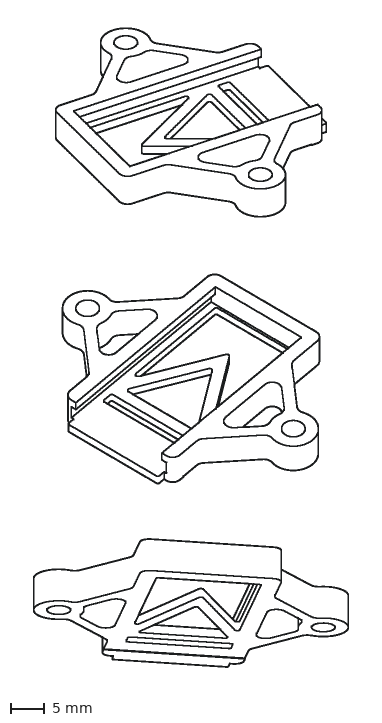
import cadquery as cq
import math

total_height = 5.2
pad_thickness = 0.12
plate_top = 1.5
lip_thickness = 1.42

frame_half_width = 10.7
frame_front = -18.05
frame_back = 16.6
channel_half_width = 8.35
channel_front = -15.7
groove_half_width = 9.2
corner_radius = 1.42

tongue_half_width = 8.8
tongue_back = 17.95
pad_front = 14.25
small_radius = 0.3

total_length = 47.5
ear_radius = 3.75
ear_x = total_length / 2 - ear_radius
hole_diameter = 3.5
arm_reach = 21.38
arm_thickness = 1.95

window_half_width = 7.95
window_front = -15.35
slot_back = 10.85
slot_front = 8.85
web_width = 2.0
triangle_back = slot_front - web_width
triangle_tip = -5.2
web_angle = math.radians(60)
web_slope = math.tan(web_angle)
web_tip = triangle_tip - web_width / math.cos(web_angle)
web_radius = 0.4


def block(half_width, front, back, bottom, top):
    """Box centred on X = 0, given by its limits in Y and Z."""
    size = (2 * half_width, back - front, top - bottom)
    return cq.Workplane("XY").box(*size, centered=False).translate((-half_width, front, bottom))


def prism(points, bottom, top):
    return cq.Workplane("XY").workplane(offset=bottom).polyline(points).close().extrude(top - bottom)


def cylinder(radius, side, bottom=0.0):
    height = total_height - bottom
    return cq.Workplane("XY").workplane(offset=bottom).center(side * ear_x, 0).circle(radius).extrude(height)


def arm_triangle(reach, side):
    """Right-angled triangle between the frame side and two 45 degree lines."""
    base = reach - frame_half_width
    x_base = side * frame_half_width
    return prism([(x_base, -base), (side * reach, 0), (x_base, base)], pad_thickness, total_height)


def ear_pocket(side):
    inner_reach = arm_reach - arm_thickness * math.sqrt(2)
    pocket = arm_triangle(inner_reach, side).cut(cylinder(ear_radius, side))
    return pocket.edges("|Z").fillet(corner_radius)


def make_frame():
    frame = block(frame_half_width, frame_front, frame_back, pad_thickness, total_height)
    for side in (-1, 1):
        frame = frame.union(arm_triangle(arm_reach, side)).union(cylinder(ear_radius, side, pad_thickness))
    frame = frame.edges("|Z").fillet(corner_radius)
    for side in (-1, 1):
        frame = frame.cut(ear_pocket(side)).cut(cylinder(hole_diameter / 2, side))
    return frame


def make_pad():
    pad = block(frame_half_width, pad_front, frame_back, 0, pad_thickness)
    return pad.edges("|Z and >Y").fillet(corner_radius)


def make_tongue():
    tongue = block(tongue_half_width, pad_front, tongue_back, 0, plate_top)
    return tongue.edges("|Z and >Y").fillet(small_radius)


def cut_channel(body):
    channel = block(channel_half_width, channel_front, tongue_back, plate_top, total_height)
    groove = block(groove_half_width, channel_front, tongue_back, plate_top, total_height - lip_thickness)
    return body.cut(channel).cut(groove)


def cut_plate_openings(body):
    slot = block(window_half_width, slot_front, slot_back, 0, plate_top)
    slot = slot.edges("|Z").fillet(small_radius)

    triangle_half_width = (triangle_back - triangle_tip) / web_slope
    triangle = prism(
        [(-triangle_half_width, triangle_back), (0, triangle_tip), (triangle_half_width, triangle_back)],
        0, plate_top,
    ).edges("|Z").fillet(web_radius)

    window_back = web_tip + window_half_width * web_slope
    window = prism(
        [
            (-window_half_width, window_front),
            (-window_half_width, window_back),
            (0, web_tip),
            (window_half_width, window_back),
            (window_half_width, window_front),
        ],
        0, plate_top,
    )
    window = window.edges("|Z").edges("not <Y").fillet(web_radius)
    window = window.faces("<Y").edges("|Z").fillet(small_radius)
    return body.cut(slot).cut(triangle).cut(window)


body = make_frame().union(make_pad()).union(make_tongue())
result = cut_plate_openings(cut_channel(body))